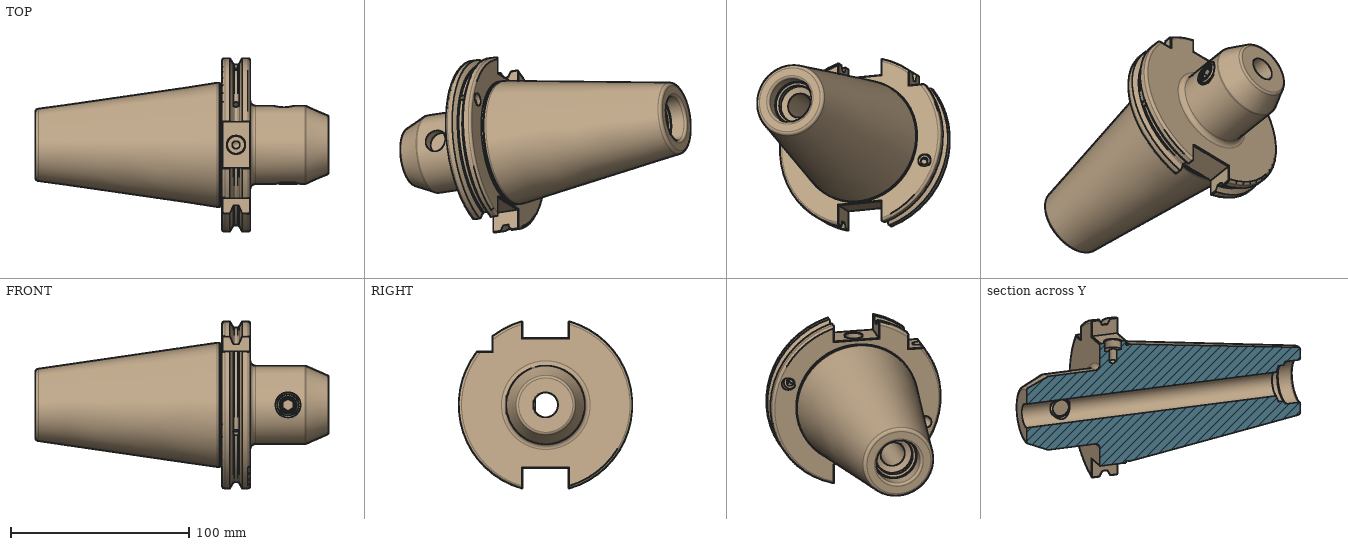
import cadquery as cq
import math


TAPER_LENGTH = 101.7
NOSE_LENGTH = 63.1

GAUGE_RADIUS = 35.0
TAPER_SLOPE = 3.5 / 24
TAPER_TOP = 0.3
TAPER_END_RADIUS = GAUGE_RADIUS - TAPER_LENGTH * TAPER_SLOPE
TAPER_END_FILLET = 2.0
RELIEF_START = 1.5
RELIEF_DEPTH = 0.5

FLANGE_START = 3.1
FLANGE_END = 19.1
FLANGE_RADIUS = 48.8
FLANGE_FILLET = 1.5

GROOVE_CENTER = 11.0
GROOVE_WIDTH = 7.0
GROOVE_DEPTH = 3.5
GROOVE_HALF_ANGLE = 30
GROOVE_FLOOR_FILLET = 0.8
GROOVE_FLOOR_RADIUS = FLANGE_RADIUS - GROOVE_DEPTH
GROOVE_FLOOR_WIDTH = GROOVE_WIDTH - 2 * GROOVE_DEPTH * math.tan(math.radians(GROOVE_HALF_ANGLE))

KEYWAY_WIDTH = 25.7
TOP_KEYWAY_FLOOR = 37.5
BOTTOM_KEYWAY_FLOOR = -35.6
NOTCH_EDGE = 30.0
CUTOUT_CHAMFER = 0.5
CUTOUT_FLARE_ANGLE = 45

CHIP_RADIUS = 5.0
CHIP_DEPTH = 5.0
CHIP_CHAMFER = 0.3
CHIP_DRILL_RADIUS = 2.1
CHIP_DRILL_DEPTH = 11.5
DRILL_TIP_HALF_ANGLE = 59

COOLANT_RADIAL_PLACE = 41.8
COOLANT_ANGLES = [20, 200]
COOLANT_TILT = 25
COOLANT_MOUTH_RADIUS = 3.5
COOLANT_MOUTH_DEPTH = 5.0
COOLANT_DRILL_RADIUS = 2.0
COOLANT_DRILL_DEPTH = 13.2

GROOVE_HOLE_RADIUS = 1.6
GROOVE_HOLE_DEPTH = 7.4
EXTRA_GROOVE_HOLE_ANGLE = 60
GROOVE_HOLE_ANGLES = COOLANT_ANGLES + [EXTRA_GROOVE_HOLE_ANGLE]

NOSE_RADIUS = 22.0
NOSE_ROOT_FILLET = 2.8
NOSE_CONE_START = 50.0
NOSE_CONE_FILLET = 1.2
NOSE_END_RADIUS = 16.3
NOSE_END_FILLET = 1.6

SHANK_BORE_RADIUS = 7.0
PULL_BORE_RADIUS = 12.5
PULL_BORE_DEPTH = 9.0
PULL_BORE_FILLET = 1.5
THREAD_RADIUS = 10.5
THREAD_LEAD_START = 0.3
THREAD_LEAD_LENGTH = 0.8
THREAD_LEAD_RADIUS = 12.0
THREAD_END_DEPTH = 13.2
BORE_CONE_LENGTH = 1.5

SCREW_PLACE = 40.2
SCREW_RADIUS = 6.0
SCREW_TIP = 5.8
SCREW_CHAMFER = 1.2
SCREW_LENGTH = NOSE_RADIUS - SCREW_TIP
SCREW_SEAT_RADIUS = 7.1
SOCKET_ACROSS_FLATS = 6.0
SOCKET_DEPTH = 5.0
SOCKET_CHAMFER = 0.5

BALANCE_PLACE = 37.9
BALANCE_RADIUS = 6.1
BALANCE_DEPTH = 6.6


def rim(place, radius):
    """Selects the circular edges at X = place with at most the given radius."""
    tolerance = 0.08
    reach = radius + tolerance
    low = (place - tolerance, -reach, -reach)
    high = (place + tolerance, reach, reach)
    return cq.selectors.BoxSelector(low, high, boundingbox=True)


def make_outside():
    """Turned outside of the housing, without the gripper groove."""
    relief_middle = (RELIEF_START + FLANGE_START) / 2
    profile = (
        cq.Workplane("XZ")
        .moveTo(-TAPER_LENGTH, 0)
        .lineTo(-TAPER_LENGTH, TAPER_END_RADIUS)
        .lineTo(TAPER_TOP, GAUGE_RADIUS)
        .lineTo(RELIEF_START, GAUGE_RADIUS)
        .lineTo(relief_middle, GAUGE_RADIUS - RELIEF_DEPTH)
        .lineTo(FLANGE_START, GAUGE_RADIUS)
        .lineTo(FLANGE_START, FLANGE_RADIUS)
        .lineTo(FLANGE_END, FLANGE_RADIUS)
        .lineTo(FLANGE_END, NOSE_RADIUS)
        .lineTo(NOSE_CONE_START, NOSE_RADIUS)
        .lineTo(NOSE_LENGTH, NOSE_END_RADIUS)
        .lineTo(NOSE_LENGTH, 0)
        .close()
    )
    outside = profile.revolve(360, (0, 0, 0), (1, 0, 0))

    outside = outside.edges(rim(-TAPER_LENGTH, TAPER_END_RADIUS)).fillet(TAPER_END_FILLET)
    outside = outside.edges(rim(FLANGE_END, NOSE_RADIUS)).fillet(NOSE_ROOT_FILLET)
    outside = outside.edges(rim(NOSE_LENGTH, NOSE_END_RADIUS)).fillet(NOSE_END_FILLET)
    outside = outside.edges(rim(NOSE_CONE_START, NOSE_RADIUS)).fillet(NOSE_CONE_FILLET)
    for place in (FLANGE_START, FLANGE_END):
        flange_rim = rim(place, FLANGE_RADIUS) - rim(place, GAUGE_RADIUS)
        outside = outside.edges(flange_rim).fillet(FLANGE_FILLET)
    return outside


def make_groove():
    """Ring that cuts the V groove with its rounded floor corners."""
    overshoot = 1.6
    mouth = GROOVE_WIDTH + 2 * overshoot * math.tan(math.radians(GROOVE_HALF_ANGLE))
    ring = (
        cq.Workplane("XZ")
        .moveTo(GROOVE_CENTER - GROOVE_FLOOR_WIDTH / 2, GROOVE_FLOOR_RADIUS)
        .lineTo(GROOVE_CENTER + GROOVE_FLOOR_WIDTH / 2, GROOVE_FLOOR_RADIUS)
        .lineTo(GROOVE_CENTER + mouth / 2, FLANGE_RADIUS + overshoot)
        .lineTo(GROOVE_CENTER - mouth / 2, FLANGE_RADIUS + overshoot)
        .close()
        .revolve(360, (0, 0, 0), (1, 0, 0))
    )
    size = GROOVE_FLOOR_RADIUS + 0.2
    floor_edges = cq.selectors.BoxSelector(
        (FLANGE_START, -size, -size), (FLANGE_END, size, size), boundingbox=True
    )
    return ring.edges(floor_edges).fillet(GROOVE_FLOOR_FILLET)


def make_cutout(outline):
    """Cutter through the flange with a (Y, Z) outline that widens at both flange faces."""
    inner_start = FLANGE_START + CUTOUT_CHAMFER
    inner_end = FLANGE_END - CUTOUT_CHAMFER
    flange_middle = ((FLANGE_START + FLANGE_END) / 2, 0, 0)

    def outline_at(place):
        return cq.Workplane("YZ", origin=(place, 0, 0)).polyline(outline).close()

    middle = outline_at(inner_start).extrude(inner_end - inner_start)
    end_flare = outline_at(inner_end).extrude(CUTOUT_CHAMFER, taper=-CUTOUT_FLARE_ANGLE)
    start_flare = end_flare.mirror("YZ", flange_middle)
    return [middle, start_flare, end_flare]


def make_keyway(floor):
    """Cutter for a drive keyway whose mouth edges are chamfered."""
    side = math.copysign(1, floor)
    half = KEYWAY_WIDTH / 2
    overshoot = 5.0
    mouth_half = half + CUTOUT_CHAMFER
    chamfer_top = math.sqrt(FLANGE_RADIUS**2 - mouth_half**2)
    chamfer_low = chamfer_top - CUTOUT_CHAMFER
    outer_half = mouth_half + overshoot
    outline = [
        (-half, floor),
        (half, floor),
        (half, side * chamfer_low),
        (outer_half, side * (chamfer_top + overshoot)),
        (-outer_half, side * (chamfer_top + overshoot)),
        (-half, side * chamfer_low),
    ]
    return make_cutout(outline)


def make_notch():
    """Cutter for the corner notch on the -Y, +Z side of the flange, with chamfered mouth edges."""
    overshoot = 16.5
    mouth_edge = NOTCH_EDGE - CUTOUT_CHAMFER
    chamfer_outer = math.sqrt(FLANGE_RADIUS**2 - mouth_edge**2)
    chamfer_inner = chamfer_outer - CUTOUT_CHAMFER
    far = chamfer_outer + overshoot
    far_edge = mouth_edge - overshoot
    outline = [
        (-NOTCH_EDGE, NOTCH_EDGE),
        (-NOTCH_EDGE, chamfer_inner),
        (-far_edge, far),
        (-far, far),
        (-far, far_edge),
        (-chamfer_inner, NOTCH_EDGE),
    ]
    return make_cutout(outline)


def make_chip_pocket():
    """Stepped blind hole in the top keyway floor, ending in a drill tip."""
    mouth = cq.Vector(GROOVE_CENTER, 0, TOP_KEYWAY_FLOOR)
    down = cq.Vector(0, 0, -1)
    pocket = cq.Solid.makeCylinder(CHIP_RADIUS, CHIP_DEPTH, mouth, down)
    chamfer = cq.Solid.makeCone(CHIP_RADIUS + CHIP_CHAMFER, CHIP_RADIUS, CHIP_CHAMFER, mouth, down)
    drill = cq.Solid.makeCylinder(CHIP_DRILL_RADIUS, CHIP_DRILL_DEPTH, mouth, down)
    tip_length = CHIP_DRILL_RADIUS / math.tan(math.radians(DRILL_TIP_HALF_ANGLE))
    tip = cq.Solid.makeCone(CHIP_DRILL_RADIUS, 0, tip_length, mouth + down * CHIP_DRILL_DEPTH, down)
    return [pocket, chamfer, drill, tip]


def radial_direction(angle):
    """Unit vector away from the X axis, at an angle from +Y towards +Z."""
    return cq.Vector(0, math.cos(math.radians(angle)), math.sin(math.radians(angle)))


def make_coolant_hole(angle):
    """Stepped hole that enters the flange face and leans towards the axis."""
    outward = radial_direction(angle)
    tilt = math.radians(COOLANT_TILT)
    inward = cq.Vector(math.cos(tilt), 0, 0) - outward * math.sin(tilt)
    mouth = cq.Vector(FLANGE_START, 0, 0) + outward * COOLANT_RADIAL_PLACE
    start = mouth - inward * COOLANT_MOUTH_RADIUS
    wide = cq.Solid.makeCylinder(
        COOLANT_MOUTH_RADIUS, COOLANT_MOUTH_RADIUS + COOLANT_MOUTH_DEPTH, start, inward
    )
    narrow = cq.Solid.makeCylinder(COOLANT_DRILL_RADIUS, COOLANT_DRILL_DEPTH, mouth, inward)
    return [wide, narrow]


def make_groove_hole(angle):
    """Blind radial hole in the groove floor."""
    outward = radial_direction(angle)
    start = cq.Vector(GROOVE_CENTER, 0, 0) + outward * FLANGE_RADIUS
    return cq.Solid.makeCylinder(
        GROOVE_HOLE_RADIUS, GROOVE_DEPTH + GROOVE_HOLE_DEPTH, start, outward * -1
    )


def make_bore():
    """Through bore: pull stud bore, thread core, cone and shank bore."""
    thread_start = PULL_BORE_DEPTH - TAPER_LENGTH
    thread_end = THREAD_END_DEPTH - TAPER_LENGTH
    lead_start = thread_start + THREAD_LEAD_START
    return (
        cq.Workplane("XZ")
        .moveTo(-TAPER_LENGTH, 0)
        .lineTo(-TAPER_LENGTH, PULL_BORE_RADIUS + PULL_BORE_FILLET)
        .radiusArc((PULL_BORE_FILLET - TAPER_LENGTH, PULL_BORE_RADIUS), -PULL_BORE_FILLET)
        .lineTo(thread_start, PULL_BORE_RADIUS)
        .lineTo(thread_start, THREAD_LEAD_RADIUS)
        .lineTo(lead_start, THREAD_LEAD_RADIUS)
        .lineTo(lead_start + THREAD_LEAD_LENGTH, THREAD_RADIUS)
        .lineTo(thread_end, THREAD_RADIUS)
        .lineTo(thread_end + BORE_CONE_LENGTH, SHANK_BORE_RADIUS)
        .lineTo(NOSE_LENGTH, SHANK_BORE_RADIUS)
        .lineTo(NOSE_LENGTH, 0)
        .close()
        .revolve(360, (0, 0, 0), (1, 0, 0))
    )


def make_screw_hole():
    """Hole for the clamping screw with a countersunk mouth."""
    mouth = cq.Vector(SCREW_PLACE, -NOSE_RADIUS, 0)
    inward = cq.Vector(0, 1, 0)
    hole = cq.Solid.makeCylinder(SCREW_RADIUS, NOSE_RADIUS, mouth, inward)
    seat_depth = SCREW_SEAT_RADIUS - SCREW_RADIUS
    rim_drop = NOSE_RADIUS - math.sqrt(NOSE_RADIUS**2 - SCREW_SEAT_RADIUS**2)
    wide = cq.Solid.makeCylinder(SCREW_SEAT_RADIUS, rim_drop, mouth, inward)
    seat = cq.Solid.makeCone(
        SCREW_SEAT_RADIUS, SCREW_RADIUS, seat_depth, mouth + inward * rim_drop, inward
    )
    return [hole, wide, seat]


def make_balance_hole():
    """Blind hole in the +Y side of the nose."""
    mouth = cq.Vector(BALANCE_PLACE, NOSE_RADIUS, 0)
    return cq.Solid.makeCylinder(BALANCE_RADIUS, BALANCE_DEPTH, mouth, cq.Vector(0, -1, 0))


def make_housing():
    """Tool holder body with all its cutouts and holes."""
    housing = make_outside().cut(make_groove()).cut(make_bore())
    cutters = make_keyway(TOP_KEYWAY_FLOOR) + make_keyway(BOTTOM_KEYWAY_FLOOR) + make_notch()
    cutters += make_chip_pocket() + make_screw_hole() + [make_balance_hole()]
    for angle in COOLANT_ANGLES:
        cutters += make_coolant_hole(angle)
    for angle in GROOVE_HOLE_ANGLES:
        cutters.append(make_groove_hole(angle))
    for cutter in cutters:
        housing = housing.cut(cutter)
    return housing.solids()


def make_clamping_screw():
    """Set screw with chamfered ends and a hexagon socket."""
    corner_distance = SOCKET_ACROSS_FLATS / math.cos(math.radians(30))
    screw = cq.Workplane("XZ").circle(SCREW_RADIUS).extrude(SCREW_LENGTH)
    screw = screw.faces("<Y or >Y").chamfer(SCREW_CHAMFER)
    socket = (
        cq.Workplane("XZ", origin=(0, -SCREW_LENGTH, 0))
        .transformed(rotate=(0, 0, 90))
        .polygon(6, corner_distance)
        .extrude(-SOCKET_DEPTH)
    )
    mouth_radius = corner_distance / 2 + SOCKET_CHAMFER
    countersink = cq.Solid.makeCone(
        mouth_radius,
        mouth_radius - SOCKET_CHAMFER,
        SOCKET_CHAMFER,
        cq.Vector(0, -SCREW_LENGTH, 0),
        cq.Vector(0, 1, 0),
    )
    screw = screw.cut(socket).cut(countersink)
    return screw.translate((SCREW_PLACE, -SCREW_TIP, 0)).solids()


housing = make_housing()
clamping_screw = make_clamping_screw()
result = cq.Compound.makeCompound([housing.val(), clamping_screw.val()])